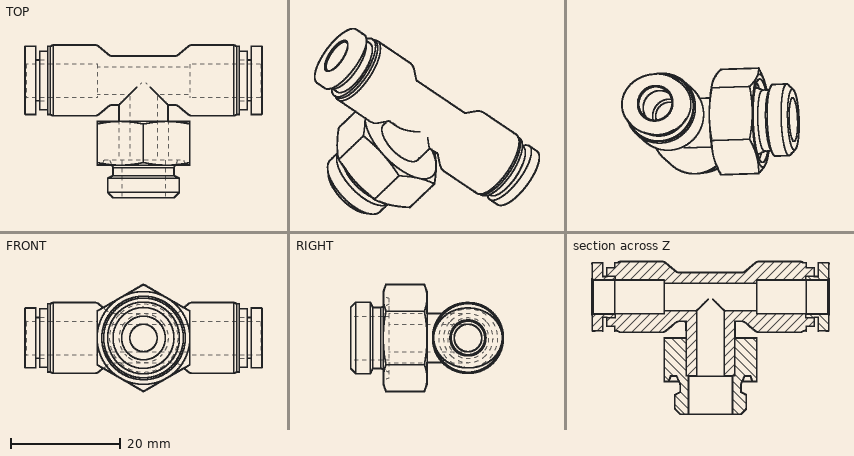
import cadquery as cq
import math


TUBE_D = 9.0
BORE_D = 5.0
HOSE_SOCKET_D = 6.15
HEAD_D = 13.0
HEAD_END = 17.55
RIM_D = 12.55
RIM_LENGTH = 0.5
RIM_TAPER = 0.5
NOSE_D = 10.75
NOSE_LENGTH = 1.45
SHOULDER_START = 6.1
SHOULDER_END = 8.5
SHOULDER_FILLET = 1.0

RUN_LENGTH = 43.4
COLLAR_FACE = RUN_LENGTH / 2
FLANGE_SIZE_Y = 12.55
FLANGE_SIZE_Z = 11.0
FLANGE_THICKNESS = 2.0
FLANGE_EDGE_FILLET = 0.2
COLLAR_D = 7.5
COLLAR_BORE_D = 6.2
COLLAR_MOUTH_CHAMFER = 0.2
COLLAR_LENGTH = 4.2
COLLAR_SEAT = COLLAR_FACE - COLLAR_LENGTH

HEX_ACROSS_FLATS = 17.0
HEX_ACROSS_CORNERS = HEX_ACROSS_FLATS / math.cos(math.pi / 6)
HEX_CHAMFER_ANGLE = math.radians(20)
HEX_LENGTH = 8.0
HEX_BACK = 7.5
HEX_FRONT = HEX_BACK + HEX_LENGTH
STUD_LENGTH = 6.0
STUD_END = HEX_FRONT + STUD_LENGTH
THREAD_D = 13.16
THREAD_LENGTH = 4.1
THREAD_END_CHAMFER = 1.0
THREAD_BACK_TAPER = 0.5
NECK_D = 11.2
NECK_END = HEX_FRONT + 0.45
STUD_BORE_D = 8.0
GROOVE_DEPTH = 1.0
GROOVE_FLOOR = HEX_FRONT - GROOVE_DEPTH
GROOVE_RIM_D = 15.3
GROOVE_FLOOR_D = 14.6
NECK_FLARE_D = 12.5
STEM_END = GROOVE_FLOOR


def x_cylinder(diameter, start, end):
    """Cylinder around the run axis between two X positions."""
    return cq.Workplane("YZ").workplane(offset=start).circle(diameter / 2).extrude(end - start)


def branch_cylinder(diameter, start, end):
    """Cylinder around the branch axis between two distances from the run axis."""
    return cq.Workplane("XZ").workplane(offset=start).circle(diameter / 2).extrude(end - start)


def on_side(shape, side):
    """Shape as built on the +X side, or its mirror image on the -X side."""
    return shape if side > 0 else shape.mirror("YZ")


def run_outline():
    """Tube and both heads without their noses, solid, turned around the run axis."""
    half_profile = [
        (SHOULDER_START, TUBE_D / 2),
        (SHOULDER_END, HEAD_D / 2),
        (HEAD_END - RIM_LENGTH - RIM_TAPER, HEAD_D / 2),
        (HEAD_END - RIM_LENGTH, RIM_D / 2),
        (HEAD_END, RIM_D / 2),
        (HEAD_END, 0),
    ]
    mirrored_profile = [(-x, radius) for x, radius in reversed(half_profile)]
    blank = (
        cq.Workplane("XY")
        .polyline(mirrored_profile + half_profile)
        .close()
        .revolve(360, (0, 0, 0), (1, 0, 0))
    )
    for side in (1, -1):
        for shoulder_x in (SHOULDER_START, SHOULDER_END):
            ring_centre = (side * shoulder_x, 0, 0)
            blank = blank.edges(cq.selectors.NearestToPointSelector(ring_centre)).fillet(SHOULDER_FILLET)
    return blank


def make_tee_body():
    body = run_outline()
    body = body.union(branch_cylinder(TUBE_D, 0, STEM_END))
    for side in (1, -1):
        nose = x_cylinder(NOSE_D, HEAD_END, HEAD_END + NOSE_LENGTH)
        body = body.union(on_side(nose, side))
        collar_socket = x_cylinder(COLLAR_D, COLLAR_SEAT, COLLAR_FACE)
        hose_socket = x_cylinder(HOSE_SOCKET_D, SHOULDER_END, COLLAR_FACE)
        body = body.cut(on_side(collar_socket.union(hose_socket), side))
    body = body.cut(x_cylinder(BORE_D, -COLLAR_FACE, COLLAR_FACE))
    return body.cut(branch_cylinder(BORE_D, 0, STEM_END))


def make_collar(side):
    flange = (
        cq.Workplane("YZ")
        .workplane(offset=COLLAR_FACE - FLANGE_THICKNESS)
        .ellipse(FLANGE_SIZE_Y / 2, FLANGE_SIZE_Z / 2)
        .extrude(FLANGE_THICKNESS)
        .faces(">X")
        .edges()
        .fillet(FLANGE_EDGE_FILLET)
    )
    collar = flange.union(x_cylinder(COLLAR_D, COLLAR_SEAT, COLLAR_FACE - FLANGE_THICKNESS))
    collar = collar.cut(x_cylinder(COLLAR_BORE_D, COLLAR_SEAT, COLLAR_FACE))
    collar = collar.faces(">X").edges("%CIRCLE").chamfer(COLLAR_MOUTH_CHAMFER)
    return on_side(collar, side)


def make_hexagon():
    """Hexagon with corners at +Z and -Z, its corners chamfered at both ends."""
    prism = (
        cq.Workplane("XZ")
        .workplane(offset=HEX_BACK)
        .transformed(rotate=(0, 0, 90))
        .polygon(6, HEX_ACROSS_CORNERS)
        .extrude(HEX_LENGTH)
    )
    flat_radius = HEX_ACROSS_FLATS / 2
    corner_radius = HEX_ACROSS_CORNERS / 2
    chamfer_length = (corner_radius - flat_radius) * math.tan(HEX_CHAMFER_ANGLE)
    envelope = (
        cq.Workplane("XY")
        .moveTo(0, -HEX_BACK)
        .lineTo(flat_radius, -HEX_BACK)
        .lineTo(corner_radius, -HEX_BACK - chamfer_length)
        .lineTo(corner_radius, -HEX_FRONT + chamfer_length)
        .lineTo(flat_radius, -HEX_FRONT)
        .lineTo(0, -HEX_FRONT)
        .close()
        .revolve(360, (0, 0, 0), (0, 1, 0))
    )
    return prism.intersect(envelope)


def seal_groove():
    """Tapered disc cut from the hexagon's front face; the neck later fills its middle."""
    return (
        cq.Workplane("XY")
        .moveTo(0, -GROOVE_FLOOR)
        .lineTo(GROOVE_FLOOR_D / 2, -GROOVE_FLOOR)
        .lineTo(GROOVE_RIM_D / 2, -HEX_FRONT)
        .lineTo(0, -HEX_FRONT)
        .close()
        .revolve(360, (0, 0, 0), (0, 1, 0))
    )


def thread_end():
    """Flared neck and thread cylinder, solid, from the groove floor to the stud end."""
    thread_start = STUD_END - THREAD_LENGTH
    chamfered_radius = THREAD_D / 2 - THREAD_END_CHAMFER
    return (
        cq.Workplane("XY")
        .moveTo(0, -GROOVE_FLOOR)
        .lineTo(NECK_FLARE_D / 2, -GROOVE_FLOOR)
        .lineTo(NECK_D / 2, -NECK_END)
        .lineTo(NECK_D / 2, -thread_start)
        .lineTo(THREAD_D / 2, -thread_start - THREAD_BACK_TAPER)
        .lineTo(THREAD_D / 2, -STUD_END + THREAD_END_CHAMFER)
        .lineTo(chamfered_radius, -STUD_END)
        .lineTo(0, -STUD_END)
        .close()
        .revolve(360, (0, 0, 0), (0, 1, 0))
    )


def make_stud():
    stud = make_hexagon().cut(seal_groove()).union(thread_end())
    stud = stud.cut(branch_cylinder(TUBE_D, HEX_BACK, STEM_END))
    return stud.cut(branch_cylinder(STUD_BORE_D, STEM_END, STUD_END))


tee_body = make_tee_body()
collars = [make_collar(side) for side in (1, -1)]
stud = make_stud()

result = cq.Compound.makeCompound([tee_body.val(), *[collar.val() for collar in collars], stud.val()])